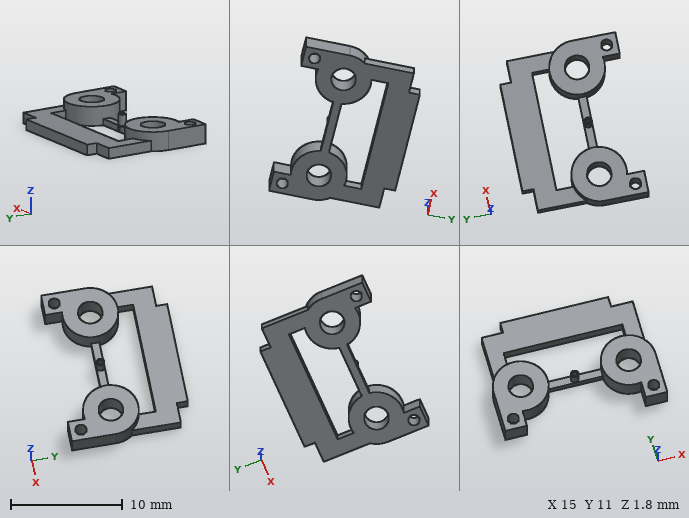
import cadquery as cq

height = 1.8
ring_spacing = 10.0
ring_outer_diameter = 5.0
ring_bore_diameter = 2.2

foot_width = 2.0
foot_reach = 4.0
foot_hole_diameter = 1.0
foot_hole_inset = 1.0

frame_height = 1.0
frame_width = 14.0
frame_front_y = 4.0
frame_back_y = 6.0
arm_width = 1.5
rear_block_depth = 1.0

link_width = 0.75
link_height = 0.6
pin_diameter = 0.7
pin_top_z = 1.6
pin_bore_diameter = 0.4
link_port_diameter = 0.33

ring_x = ring_spacing / 2
ring_radius = ring_outer_diameter / 2
outer_x = ring_x + ring_radius
port_z = link_height / 2


def box(x_min, x_max, y_min, y_max, top_z):
    """Rectangular block standing on the base plane."""
    size = (x_max - x_min, y_max - y_min, top_z)
    return cq.Workplane("XY").box(*size, centered=False).translate((x_min, y_min, 0))


def post(x, y, diameter, top_z):
    """Upright cylinder standing on the base plane."""
    return cq.Workplane("XY").center(x, y).circle(diameter / 2).extrude(top_z)


def frame():
    """Rear crossbar with its back block and the two arms that reach the rings."""
    half_width = frame_width / 2
    body = box(-half_width, half_width, frame_front_y, frame_back_y, frame_height)
    body = body.union(box(-ring_x, ring_x, frame_back_y, frame_back_y + rear_block_depth, frame_height))
    arm = box(-half_width, arm_width - half_width, 0, frame_back_y, frame_height)
    return body.union(arm).union(arm.mirror("YZ"))


def ring_with_foot():
    """Left ring and the square foot that runs forward from its outer side."""
    foot = box(-outer_x, foot_width - outer_x, -foot_reach, 0, height)
    return post(-ring_x, 0, ring_outer_diameter, height).union(foot)


def ring_cutters():
    """Ring bore and foot hole of the left side."""
    bore = post(-ring_x, 0, ring_bore_diameter, height)
    foot_hole_x = foot_hole_inset - outer_x
    foot_hole_y = foot_hole_inset - foot_reach
    return bore.union(post(foot_hole_x, foot_hole_y, foot_hole_diameter, height))


def link_with_pin():
    """Thin bar between the rings, carrying the upright hollow pin."""
    link = box(-ring_x, ring_x, -link_width / 2, link_width / 2, link_height)
    return link.union(post(0, 0, pin_diameter, pin_top_z))


def pin_passage():
    """Pin bore down to the port axis, then a port along +Y out of the back of the link."""
    bore = post(0, 0, pin_bore_diameter, pin_top_z - port_z).translate((0, 0, port_z))
    port = (
        cq.Workplane("XZ", origin=(0, 0, port_z))
        .circle(link_port_diameter / 2)
        .extrude(-link_width / 2)
    )
    return bore.union(port)


body = frame().union(link_with_pin())
left_side = ring_with_foot()
left_cutters = ring_cutters()
body = body.union(left_side).union(left_side.mirror("YZ"))
body = body.cut(left_cutters).cut(left_cutters.mirror("YZ"))
result = body.cut(pin_passage())